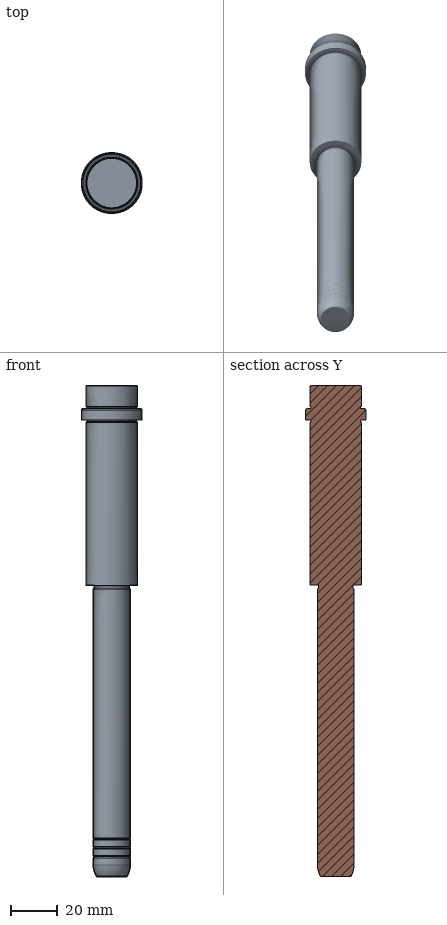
import cadquery as cq

total_length = 210.0
collar_radius = 13.0
body_radius = 11.02
shaft_radius = 8.0
tip_radius = 6.3

tip_length = 5.0
tip_bulge = 0.32
tip_chamfer = 0.5
shaft_top = 123.0
body_bottom = 124.5
collar_bottom = 195.0
collar_top = 200.1

collar_chamfer = 0.6
head_chamfer = 0.5
relief_depth = 0.5
relief_width = 1.0
relief_slope = 0.52
head_relief_width = 0.8
head_relief_slope = 0.32
neck_depth = 0.5

groove_count = 3
groove_pitch = 3.8
first_groove_height = 8.6
groove_width = 1.0
groove_depth = 0.2

relief_radius = body_radius - relief_depth
neck_radius = shaft_radius - neck_depth


def pin():
    """Revolved pin: rounded and chamfered tip, shaft, neck, body, chamfered collar and head."""
    arc_start_radius = tip_radius + tip_chamfer
    arc_middle_radius = (arc_start_radius + shaft_radius) / 2 + tip_bulge
    arc_middle_height = (tip_chamfer + tip_length) / 2
    body_top = collar_bottom - relief_width
    head_bottom = collar_top + head_relief_width
    profile = (
        cq.Workplane("XZ")
        .moveTo(0, 0)
        .lineTo(-tip_radius, 0)
        .lineTo(-arc_start_radius, tip_chamfer)
        .threePointArc((-arc_middle_radius, arc_middle_height), (-shaft_radius, tip_length))
        .lineTo(-shaft_radius, shaft_top)
        .lineTo(-neck_radius, shaft_top)
        .lineTo(-neck_radius, body_bottom)
        .lineTo(-body_radius, body_bottom)
        .lineTo(-body_radius, body_top)
        .lineTo(-relief_radius, body_top + relief_slope)
        .lineTo(-relief_radius, collar_bottom)
        .lineTo(-collar_radius, collar_bottom)
        .lineTo(-collar_radius, collar_top - collar_chamfer)
        .lineTo(-collar_radius + collar_chamfer, collar_top)
        .lineTo(-relief_radius, collar_top)
        .lineTo(-relief_radius, head_bottom - head_relief_slope)
        .lineTo(-body_radius, head_bottom)
        .lineTo(-body_radius, total_length - head_chamfer)
        .lineTo(-body_radius + head_chamfer, total_length)
        .lineTo(0, total_length)
        .close()
    )
    return profile.revolve(360, (0, 0, 0), (0, 1, 0))


def ring_groove(height):
    """V-shaped ring cutter around the shaft, centred on the given height."""
    half_width = groove_width / 2
    return (
        cq.Workplane("XZ")
        .moveTo(-shaft_radius, height - half_width)
        .lineTo(-shaft_radius + groove_depth, height)
        .lineTo(-shaft_radius, height + half_width)
        .close()
        .revolve(360, (0, 0, 0), (0, 1, 0))
    )


result = pin()
for index in range(groove_count):
    result = result.cut(ring_groove(first_groove_height + index * groove_pitch))